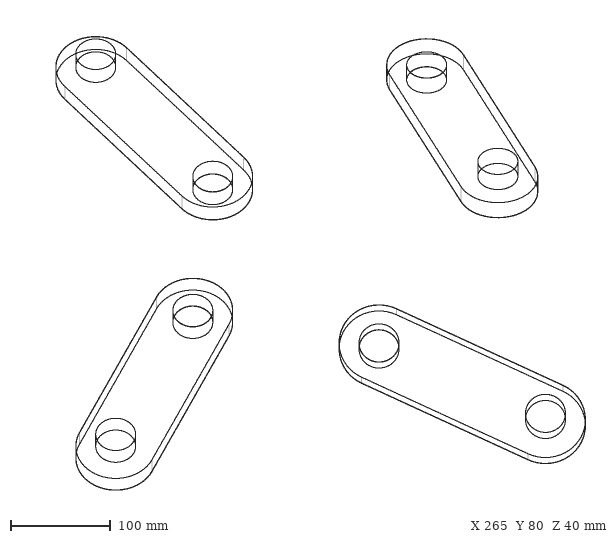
import cadquery as cq

link_length = 265.0
link_width = 80.0

end_radius = link_width / 2
link_thickness = link_width / 4
pin_diameter = link_width / 2
pin_height = link_thickness
hole_diameter = pin_diameter
center_distance = link_length - 2 * end_radius

link = (
    cq.Workplane("XY")
    .center(center_distance / 2, 0)
    .slot2D(link_length, link_width)
    .extrude(link_thickness)
)

pin = (
    cq.Workplane("XY")
    .workplane(offset=link_thickness)
    .circle(pin_diameter / 2)
    .extrude(pin_height)
)

hole = (
    cq.Workplane("XY")
    .center(center_distance, 0)
    .circle(hole_diameter / 2)
    .extrude(link_thickness)
)

result = link.union(pin).cut(hole)